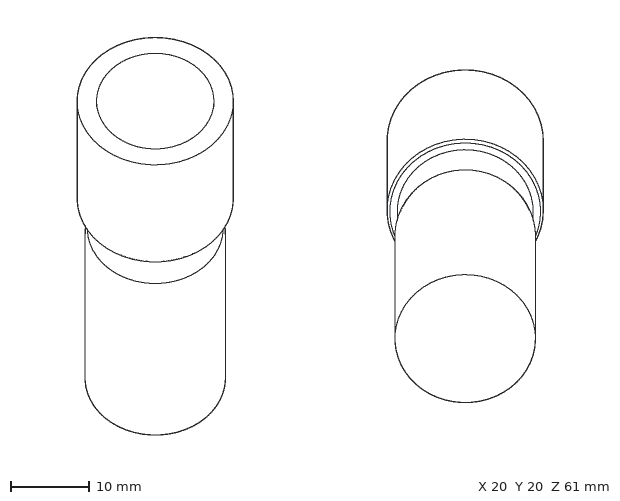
import cadquery as cq

total_height = 61.0
collar_bottom = 39.2
neck_bottom = 33.0
shoulder_height = 1.45

collar_diameter = 20.0
neck_diameter = 17.4
body_diameter = 18.0
bore_diameter = 15.0

collar_chamfer = 0.35

bore_depth = total_height - collar_bottom

collar_radius = collar_diameter / 2
neck_radius = neck_diameter / 2
body_radius = body_diameter / 2


def shoulder_midpoint():
    """Middle of the convex shoulder arc, which meets the body wall tangentially."""
    step = body_radius - neck_radius
    arc_radius = (step**2 + shoulder_height**2) / (2 * step)
    half_height = shoulder_height / 2
    inset = arc_radius - (arc_radius**2 - half_height**2) ** 0.5
    return body_radius - inset, neck_bottom - half_height


def make_outside():
    """Solid of revolution with body, rounded shoulder, neck and chamfered collar."""
    return (
        cq.Workplane("XZ")
        .lineTo(body_radius, 0)
        .lineTo(body_radius, neck_bottom - shoulder_height)
        .threePointArc(shoulder_midpoint(), (neck_radius, neck_bottom))
        .lineTo(neck_radius, collar_bottom)
        .lineTo(collar_radius - collar_chamfer, collar_bottom)
        .lineTo(collar_radius, collar_bottom + collar_chamfer)
        .lineTo(collar_radius, total_height)
        .lineTo(0, total_height)
        .close()
        .revolve(360, (0, 0), (0, 1))
    )


def make_bore():
    """Flat-bottomed bore open at the top."""
    return (
        cq.Workplane("XY")
        .workplane(offset=total_height - bore_depth)
        .circle(bore_diameter / 2)
        .extrude(bore_depth)
    )


result = make_outside().cut(make_bore())